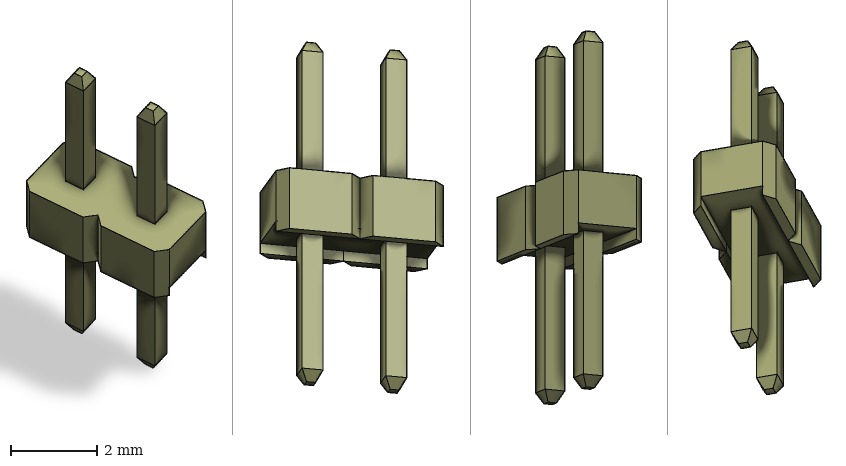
import cadquery as cq

pitch = 2.0
pin_count = 2
total_height = 8.4

housing_length = pin_count * pitch
housing_width = 2.0
housing_height = 1.5
corner_cut = 0.25
channel_width = housing_width - 2 * corner_cut
channel_depth = 0.25

pin_side = 0.5
pin_tip_side = 0.22
pin_tip_height = 0.27
pin_below_housing = 3.4

pin_positions = [(i - (pin_count - 1) / 2) * pitch for i in range(pin_count)]


def make_housing():
    """Row of octagonal cells with a channel along the underside and square pin holes."""
    housing = cq.Workplane("XY")
    for x in pin_positions:
        cell = (
            cq.Workplane("XY")
            .center(x, 0)
            .rect(pitch, housing_width)
            .extrude(housing_height)
            .edges("|Z")
            .chamfer(corner_cut)
        )
        housing = housing.union(cell)

    channel = cq.Workplane("XY").rect(housing_length, channel_width).extrude(channel_depth)
    pin_holes = (
        cq.Workplane("XY")
        .pushPoints([(x, 0) for x in pin_positions])
        .rect(pin_side, pin_side)
        .extrude(housing_height)
    )
    return housing.cut(channel).cut(pin_holes)


def make_tip(shaft, end_face):
    """Add a blunt pyramid to one end of a square shaft."""
    tip = (
        shaft.faces(end_face)
        .workplane(centerOption="CenterOfMass")
        .rect(pin_side, pin_side)
        .workplane(offset=pin_tip_height)
        .rect(pin_tip_side, pin_tip_side)
        .loft(combine=False)
    )
    return shaft.union(tip)


def make_pin(x):
    """Square pin with a tapered tip at both ends."""
    shaft = (
        cq.Workplane("XY", origin=(x, 0, pin_tip_height - pin_below_housing))
        .rect(pin_side, pin_side)
        .extrude(total_height - 2 * pin_tip_height)
    )
    return make_tip(make_tip(shaft, ">Z"), "<Z")


housing = make_housing()
pins = [make_pin(x) for x in pin_positions]

result = cq.Compound.makeCompound([housing.solids().val(), *[pin.solids().val() for pin in pins]])